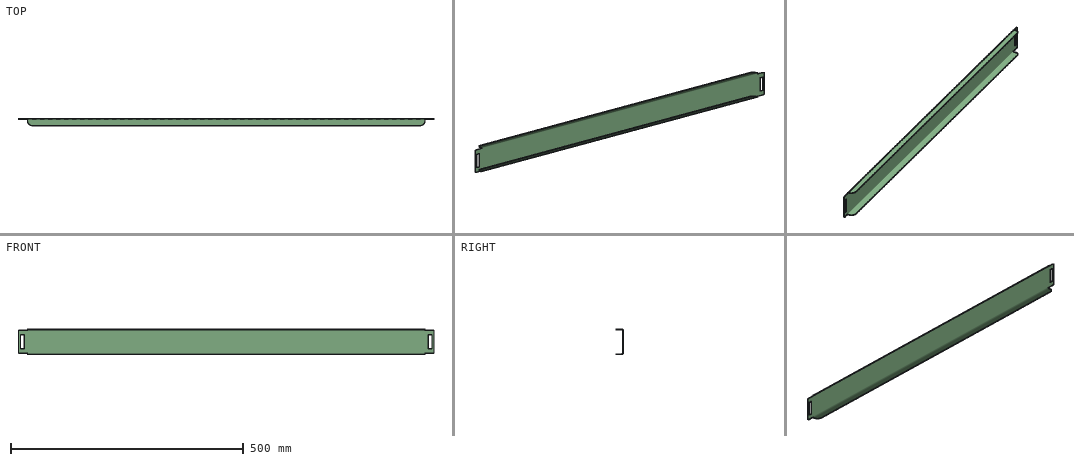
import cadquery as cq

length = 895.0
depth = 15.0
height = 55.0

thickness = 1.5
bend_radius = 3.0
inner_bend_radius = bend_radius - thickness

tab_length = 20.0
tab_height = 50.0
tab_corner_radius = 3.1
flange_length = length - 2 * tab_length
flange_corner_radius = 11.0

slot_width = 7.6
slot_height = 29.5
slot_end_margin = 4.9
slot_offset = length / 2 - slot_end_margin - slot_width / 2


def make_channel():
    """U-shaped channel with its web at the back (+Y) and flanges toward -Y."""
    outer = (
        cq.Workplane("XY")
        .box(flange_length, depth, height)
        .edges("|X and >Y")
        .fillet(bend_radius)
    )
    inner = (
        cq.Workplane("XY")
        .box(flange_length, depth, height - 2 * thickness)
        .edges("|X and >Y")
        .fillet(inner_bend_radius)
        .translate((0, -thickness, 0))
    )
    channel = outer.cut(inner)
    return channel.edges("|Z and <Y").fillet(flange_corner_radius)


def make_tab_plate():
    """Flat plate in the web plane that forms the rounded tab at each end."""
    web_center_y = (depth - thickness) / 2
    web_flat_height = height - 2 * bend_radius
    plate = cq.Workplane("XY").box(flange_length, thickness, web_flat_height)
    for side in (-1, 1):
        tab = (
            cq.Workplane("XY")
            .box(tab_length, thickness, tab_height)
            .edges("|Y and " + (">X" if side > 0 else "<X"))
            .fillet(tab_corner_radius)
            .translate((side * (length - tab_length) / 2, 0, 0))
        )
        plate = plate.union(tab)
    return plate.translate((0, web_center_y, 0))


def make_slots():
    """Cutters for the slots, passing right through the sheet."""
    return (
        cq.Workplane("XZ")
        .pushPoints([(-slot_offset, 0), (slot_offset, 0)])
        .rect(slot_width, slot_height)
        .extrude(depth, both=True)
    )


result = make_channel().union(make_tab_plate()).cut(make_slots())